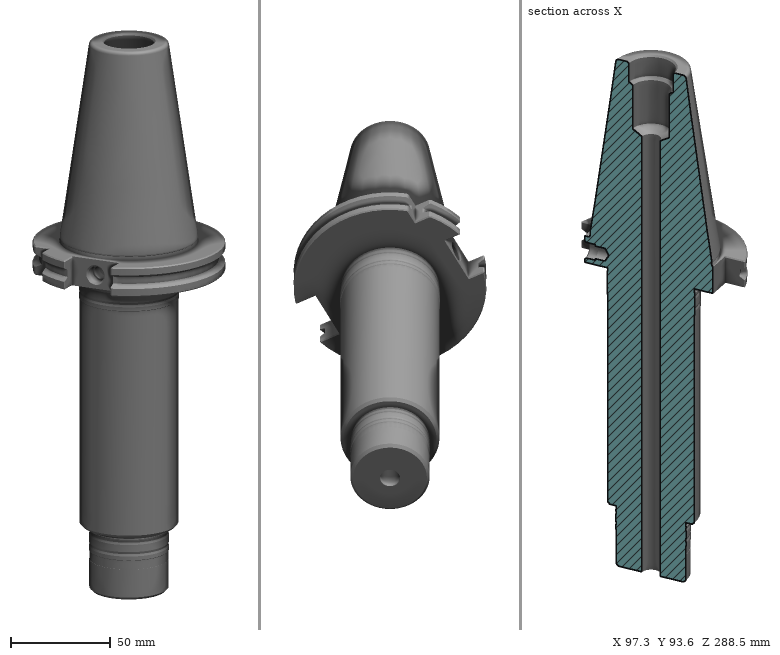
import cadquery as cq
import math

total_length = 288.5
gauge_line_z = 186.1
flange_top_z = 183.5
flange_bottom_z = 168.3
shank_bottom_z = 34.0

gauge_diameter = 69.8
taper_ratio = 7 / 24
taper_small_diameter = gauge_diameter - taper_ratio * (total_length - gauge_line_z)
taper_end_fillet = 2.0
gauge_band_length = 0.5
relief_diameter = 69.3
relief_foot_diameter = 70.5

flange_diameter = 97.3
flange_edge_chamfer = 0.5
chamfered_edge_min_radius = 42.7
v_groove_z = 176.0
v_groove_width = 7.2
v_groove_depth = 3.2
v_flank_angle = 30

keyway_width = 25.7
front_keyway_y = -37.8
back_keyway_y = 35.5
notch_offset = 30.0

shank_diameter = 50.0
shank_ring_diameter = 50.5
shank_end_chamfer = 1.5
nose_diameter = 40.0
nose_neck_diameter = 39.8
nose_ring_diameter = 40.5
nose_neck_z = 16.2
nose_end_chamfer = 1.5

shank_band = (153.8, 166.2)
shank_groove_heights = (157.0, 164.0)
nose_band = (21.0, 32.0)
nose_groove_heights = (24.2, 30.3)
ring_groove_width = 2.3
ring_groove_depth = 0.3
band_end_chamfer = 0.3

countersink_angle = 90
drill_point_angle = 118

bore_mouth_diameter = 26.8
counterbore_diameter = 25.0
counterbore_depth = 11.5
thread_mouth_diameter = 23.5
thread_diameter = 20.8
thread_depth = 37.5
through_diameter = 10.0

screw_hole_z = 175.5
screw_hole_mouth_diameter = 10.5
screw_thread_diameter = 8.7
screw_thread_depth = 5.8
screw_hole_diameter = 7.0
screw_hole_depth = 11.5


def cone_height(large_diameter, small_diameter, included_angle):
    """Height of a cone between two diameters."""
    return (large_diameter - small_diameter) / 2 / math.tan(math.radians(included_angle / 2))


def turned(outline):
    """Solid of revolution about Z from (diameter, z) corners that start and end on the axis."""
    corners = [(diameter / 2, z) for diameter, z in outline]
    return cq.Workplane("XZ").polyline(corners).close().revolve(360, (0, 0), (0, 1))


def ringed_band(diameter, base_diameter, limits, groove_heights):
    """Raised band (diameter, z) corners, from the bottom up, with V-shaped ring grooves."""
    low, high = limits
    corners = [(base_diameter, low - band_end_chamfer), (diameter, low)]
    for z in groove_heights:
        corners.append((diameter, z - ring_groove_width / 2))
        corners.append((diameter - 2 * ring_groove_depth, z))
        corners.append((diameter, z + ring_groove_width / 2))
    corners.append((diameter, high))
    corners.append((base_diameter, high + band_end_chamfer))
    return corners


def make_taper():
    band_bottom = gauge_line_z - gauge_band_length
    taper = turned([
        (0, flange_top_z),
        (relief_foot_diameter, flange_top_z),
        (relief_diameter, band_bottom - (gauge_diameter - relief_diameter) / 2),
        (gauge_diameter, band_bottom),
        (gauge_diameter, gauge_line_z),
        (taper_small_diameter, total_length),
        (0, total_length),
    ])
    return taper.faces(">Z").edges().fillet(taper_end_fillet)


def flange_cutter(x_limits, y_limits):
    """Block over the flange height between the given X and Y limits."""
    block = cq.Workplane("XY", origin=(0, 0, flange_bottom_z))
    block = block.moveTo(x_limits[0], y_limits[0]).lineTo(x_limits[1], y_limits[0])
    block = block.lineTo(x_limits[1], y_limits[1]).lineTo(x_limits[0], y_limits[1]).close()
    return block.extrude(flange_top_z - flange_bottom_z)


def is_outer_edge(edge):
    """True for the flange edges to break, False for the inner corners and keyway floors."""
    middle = edge.positionAt(0.5)
    return math.hypot(middle.x, middle.y) > chamfered_edge_min_radius


def make_v_groove():
    """Ring that cuts the V groove into the flange rim."""
    outer_radius = flange_diameter / 2
    floor_radius = outer_radius - v_groove_depth
    half_width = v_groove_width / 2
    half_floor = half_width - v_groove_depth * math.tan(math.radians(v_flank_angle))
    corners = [
        (floor_radius, v_groove_z - half_floor),
        (outer_radius, v_groove_z - half_width),
        (outer_radius, v_groove_z + half_width),
        (floor_radius, v_groove_z + half_floor),
    ]
    return cq.Workplane("XZ").polyline(corners).close().revolve(360, (0, 0), (0, 1))


def make_flange():
    flange = cq.Workplane("XY", origin=(0, 0, flange_bottom_z)).circle(flange_diameter / 2)
    flange = flange.extrude(flange_top_z - flange_bottom_z)
    half_key = keyway_width / 2
    outside = flange_diameter
    flange = flange.cut(flange_cutter((-half_key, half_key), (-outside, front_keyway_y)))
    flange = flange.cut(flange_cutter((-half_key, half_key), (back_keyway_y, outside)))
    flange = flange.cut(flange_cutter((-outside, -notch_offset), (-outside, -notch_offset)))
    flange = flange.edges().filter(is_outer_edge).chamfer(flange_edge_chamfer)
    return flange.cut(make_v_groove())


def make_body():
    nose = [
        (0, 0),
        (nose_diameter - 2 * nose_end_chamfer, 0),
        (nose_diameter, nose_end_chamfer),
        (nose_diameter, nose_neck_z),
        (nose_neck_diameter, nose_neck_z),
    ]
    nose += ringed_band(nose_ring_diameter, nose_neck_diameter, nose_band, nose_groove_heights)
    shank = [
        (nose_neck_diameter, shank_bottom_z),
        (shank_diameter - 2 * shank_end_chamfer, shank_bottom_z),
        (shank_diameter, shank_bottom_z + shank_end_chamfer),
    ]
    shank += ringed_band(shank_ring_diameter, shank_diameter, shank_band, shank_groove_heights)
    shank += [
        (shank_diameter, flange_bottom_z),
        (0, flange_bottom_z),
    ]
    return turned(nose + shank)


def make_bore():
    counterbore_z = total_length - counterbore_depth
    thread_z = total_length - thread_depth
    mouth_height = cone_height(bore_mouth_diameter, counterbore_diameter, countersink_angle)
    thread_mouth_height = cone_height(thread_mouth_diameter, thread_diameter, countersink_angle)
    drill_point_height = cone_height(thread_diameter, through_diameter, drill_point_angle)
    return turned([
        (0, 0),
        (through_diameter, 0),
        (through_diameter, thread_z - drill_point_height),
        (thread_diameter, thread_z),
        (thread_diameter, counterbore_z - thread_mouth_height),
        (thread_mouth_diameter, counterbore_z),
        (counterbore_diameter, counterbore_z),
        (counterbore_diameter, total_length - mouth_height),
        (bore_mouth_diameter, total_length),
        (0, total_length),
    ])


def make_screw_hole():
    mouth_depth = cone_height(screw_hole_mouth_diameter, screw_thread_diameter, countersink_angle)
    drill_point_depth = cone_height(screw_hole_diameter, 0, drill_point_angle)
    hole = turned([
        (0, 0),
        (screw_hole_mouth_diameter, 0),
        (screw_thread_diameter, -mouth_depth),
        (screw_thread_diameter, -screw_thread_depth),
        (screw_hole_diameter, -screw_thread_depth),
        (screw_hole_diameter, -screw_hole_depth),
        (0, -screw_hole_depth - drill_point_depth),
    ])
    return hole.rotate((0, 0, 0), (1, 0, 0), 90).translate((0, front_keyway_y, screw_hole_z))


result = make_body().union(make_flange()).union(make_taper())
result = result.cut(make_bore()).cut(make_screw_hole())